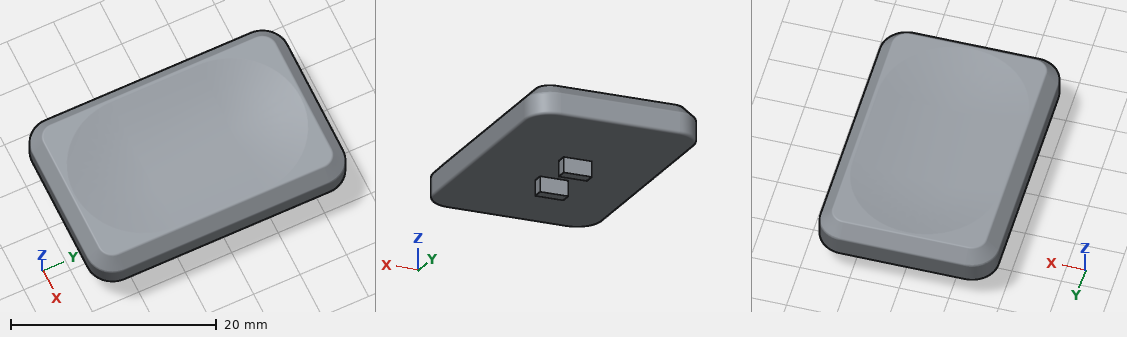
import cadquery as cq

length = 27.5
width = 18.0
body_height = 3.52
corner_radius = 2.7
top_chamfer = 1.26
edge_radius = 0.3

dish_half_width = 7.45
dish_half_straight = 4.73
dish_depth = 0.85
dish_radius = (dish_half_width**2 + dish_depth**2) / (2 * dish_depth)

total_height = 5.15
prong_height = total_height - body_height
prong_width = 3.0
prong_thickness = 1.2
prong_spacing = 5.7

select_margin = 0.03


def edges_between(x_reach, y_reach, z):
    """Selector for edges centred at height z within the given half extents."""
    return cq.selectors.BoxSelector(
        (-x_reach, -y_reach, z - select_margin),
        (x_reach, y_reach, z + select_margin),
    )


def make_body():
    slab = cq.Workplane("XY").rect(width, length).extrude(body_height)
    slab = slab.edges("|Z").fillet(corner_radius)
    slab = slab.faces(">Z").chamfer(top_chamfer)
    slab = slab.faces(">Z").edges().fillet(edge_radius)
    shoulder_height = body_height - top_chamfer
    slab = slab.edges(edges_between(width, length, shoulder_height)).fillet(edge_radius)
    return slab.faces("<Z").edges().fillet(edge_radius)


def dish_half_profile(plane):
    """Half of the dish section, from the centre line out to the rim."""
    arc_middle_x = dish_half_width / 2
    arc_centre_z = body_height - dish_depth + dish_radius
    arc_middle_z = arc_centre_z - (dish_radius**2 - arc_middle_x**2) ** 0.5
    return (
        cq.Workplane(plane)
        .moveTo(0, body_height)
        .lineTo(0, body_height - dish_depth)
        .threePointArc((arc_middle_x, arc_middle_z), (dish_half_width, body_height))
        .close()
    )


def make_dish():
    half_trough = dish_half_profile("XZ").extrude(dish_half_straight, both=True)
    dish = half_trough.union(half_trough.mirror("YZ"))
    end_cap = dish_half_profile("XZ").revolve(360, (0, 0, 0), (0, 1, 0))
    for side in (-1, 1):
        dish = dish.union(end_cap.translate((0, side * dish_half_straight, 0)))
    return dish


def make_prongs():
    return (
        cq.Workplane("XY")
        .pushPoints([(0, -prong_spacing / 2), (0, prong_spacing / 2)])
        .rect(prong_width, prong_thickness)
        .extrude(-prong_height)
    )


body = make_body().cut(make_dish())

rim = edges_between(
    dish_half_width + select_margin,
    dish_half_straight + dish_half_width + select_margin,
    body_height,
)
body = body.edges(rim).fillet(edge_radius)

result = body.union(make_prongs())